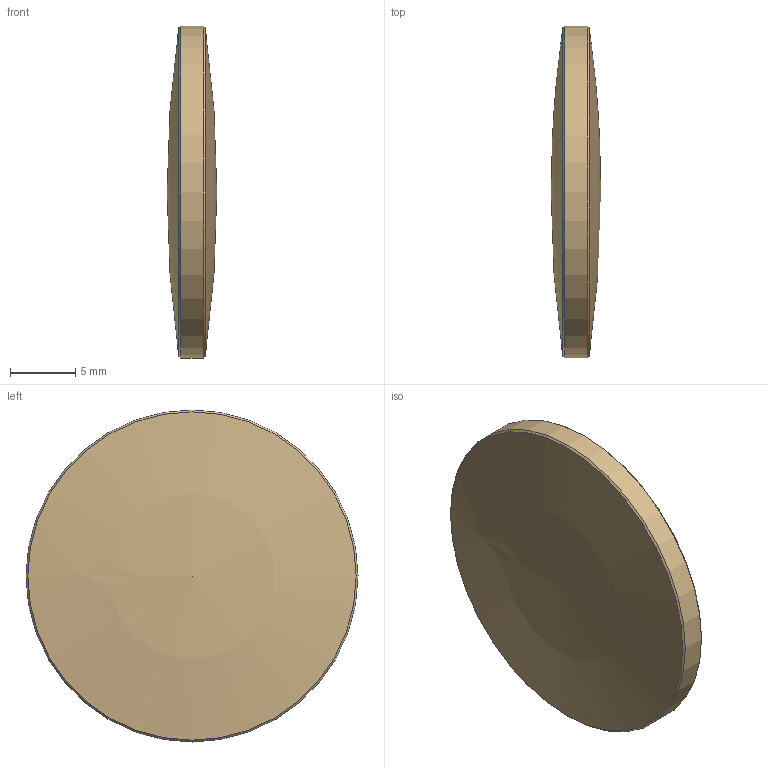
import cadquery as cq
import math

DIAMETER = 25.4
CENTER_THICKNESS = 3.8
RIM_WIDTH = 1.75
BEVEL = 0.14

rim_radius = DIAMETER / 2
face_radius = rim_radius - BEVEL
half_center = CENTER_THICKNESS / 2
half_rim = RIM_WIDTH / 2
half_face_edge = half_rim + BEVEL

sag = half_center - half_face_edge
sphere_radius = (face_radius**2 + sag**2) / (2 * sag)


def face_midpoint():
    """Axial and radial position of a point halfway out on the +X curved face."""
    radial = face_radius / 2
    axial = half_center - sphere_radius + math.sqrt(sphere_radius**2 - radial**2)
    return axial, radial


def make_lens():
    """Revolve the half section of the lens about the X axis."""
    mid_x, mid_r = face_midpoint()
    half_section = (
        cq.Workplane("XY")
        .moveTo(-half_center, 0)
        .threePointArc((-mid_x, mid_r), (-half_face_edge, face_radius))
        .lineTo(-half_rim, rim_radius)
        .lineTo(half_rim, rim_radius)
        .lineTo(half_face_edge, face_radius)
        .threePointArc((mid_x, mid_r), (half_center, 0))
        .close()
    )
    return half_section.revolve(360, (0, 0, 0), (1, 0, 0))


result = make_lens()